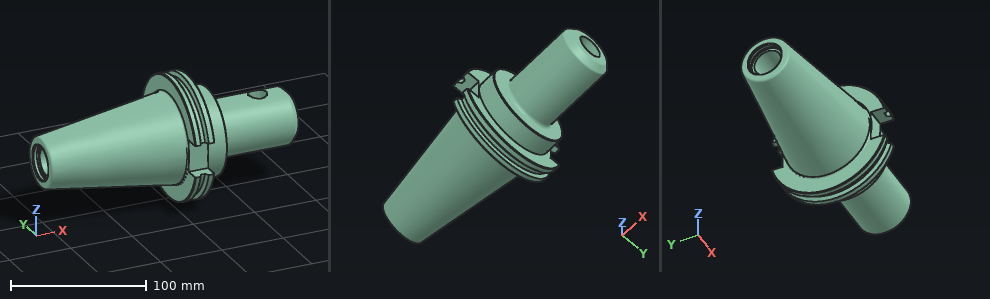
import cadquery as cq
import math

overall_length = 203.2
taper_end = 102.0
flange_start = 104.9
flange_end = 120.7
collar_end = 136.5
groove_start = 109.3
groove_end = 115.8
groove_wall_run = 1.6

gauge_dia = 70.0
taper_ratio = 7 / 24
flange_dia = 97.3
groove_dia = 91.0
collar_dia = 70.1
shank_dia = 44.5
nose_dia = gauge_dia - taper_end * taper_ratio
nose_radius = 2.0
neck_fillet = 1.2
rim_chamfer = 0.6
collar_chamfer = 0.6
shank_fillet = 3.3
shank_chamfer = 5.3
shank_edge_radius = 1.8
shank_end_radius = 2.5

bore_dia = 20.0
bore_lead_dia = 22.0
bore_lead_depth = 40.6
counterbore_dia = 26.6
counterbore_depth = 3.5
inner_counterbore_dia = 26.2
inner_counterbore_depth = 4.9
mouth_dia = 28.5

slot_width = 25.6
slot_floor_front = 35.4
slot_floor_back = 37.8
cross_hole_dia = 14.5
cross_hole_x = 177.2


def cylinder(start, end, diameter):
    """Round bar on the X axis between two stations."""
    return cq.Workplane("YZ").workplane(offset=start).circle(diameter / 2).extrude(end - start)


def cone(start, end, start_dia, end_dia):
    """Conical bar on the X axis between two stations."""
    outline = [(start, 0), (start, start_dia / 2), (end, end_dia / 2), (end, 0)]
    return cq.Workplane("XY").polyline(outline).close().revolve(360, (0, 0, 0), (1, 0, 0))


def make_taper():
    taper = cone(0, taper_end, nose_dia, gauge_dia)
    return taper.faces("<X").edges().fillet(nose_radius)


def make_neck():
    """Short cylinder that flares into the flange with a concave fillet."""
    neck_r = gauge_dia / 2
    return (
        cq.Workplane("XY")
        .moveTo(taper_end, 0)
        .lineTo(taper_end, neck_r)
        .lineTo(flange_start - neck_fillet, neck_r)
        .radiusArc((flange_start, neck_r + neck_fillet), -neck_fillet)
        .lineTo(flange_start, 0)
        .close()
        .revolve(360, (0, 0, 0), (1, 0, 0))
    )


def make_groove():
    """V-shaped gripper groove with a flat bottom."""
    outer_r = flange_dia / 2
    bottom_r = groove_dia / 2
    outline = [
        (groove_start, outer_r),
        (groove_start + groove_wall_run, bottom_r),
        (groove_end - groove_wall_run, bottom_r),
        (groove_end, outer_r),
    ]
    return cq.Workplane("XY").polyline(outline).close().revolve(360, (0, 0, 0), (1, 0, 0))


def make_slot(side, floor):
    """Cutter for one drive slot; side is the sign of its Y direction."""
    depth = flange_dia / 2 - floor
    width = flange_end - flange_start
    centre = ((flange_start + flange_end) / 2, side * (floor + depth / 2), 0)
    return cq.Workplane("XY").box(width, depth, slot_width).translate(centre)


def make_flange():
    flange = cylinder(flange_start, flange_end, flange_dia).edges().chamfer(rim_chamfer)
    flange = flange.cut(make_groove())
    flange = flange.cut(make_slot(-1, slot_floor_front))
    return flange.cut(make_slot(1, slot_floor_back))


def make_collar():
    collar = cylinder(flange_end, collar_end, collar_dia)
    return collar.faces(">X").edges().chamfer(collar_chamfer)


def make_shank():
    """Shank with a fillet at its root, and a chamfered end with softened edges."""
    shank_r = shank_dia / 2
    chamfer_start = overall_length - shank_chamfer
    tangent = shank_edge_radius * math.tan(math.pi / 8)
    diagonal = tangent * math.cos(math.pi / 4)
    shank = (
        cq.Workplane("XY")
        .moveTo(collar_end, 0)
        .lineTo(collar_end, shank_r + shank_fillet)
        .radiusArc((collar_end + shank_fillet, shank_r), -shank_fillet)
        .lineTo(chamfer_start - tangent, shank_r)
        .radiusArc((chamfer_start + diagonal, shank_r - diagonal), shank_edge_radius)
        .lineTo(overall_length, shank_r - shank_chamfer)
        .lineTo(overall_length, 0)
        .close()
        .revolve(360, (0, 0, 0), (1, 0, 0))
    )
    return shank.faces(">X").edges().fillet(shank_end_radius)


def make_bore():
    mouth_depth = (mouth_dia - counterbore_dia) / 2
    bore = cylinder(0, overall_length, bore_dia)
    bore = bore.union(cylinder(0, bore_lead_depth, bore_lead_dia))
    bore = bore.union(cylinder(0, inner_counterbore_depth, inner_counterbore_dia))
    bore = bore.union(cylinder(0, counterbore_depth, counterbore_dia))
    return bore.union(cone(0, mouth_depth, mouth_dia, counterbore_dia))


def make_cross_hole():
    """Radial hole from the top of the shank into the bore."""
    return cq.Workplane("XY").center(cross_hole_x, 0).circle(cross_hole_dia / 2).extrude(shank_dia)


body = make_taper()
for section in (make_neck(), make_flange(), make_collar(), make_shank()):
    body = body.union(section)

result = body.cut(make_bore()).cut(make_cross_hole())